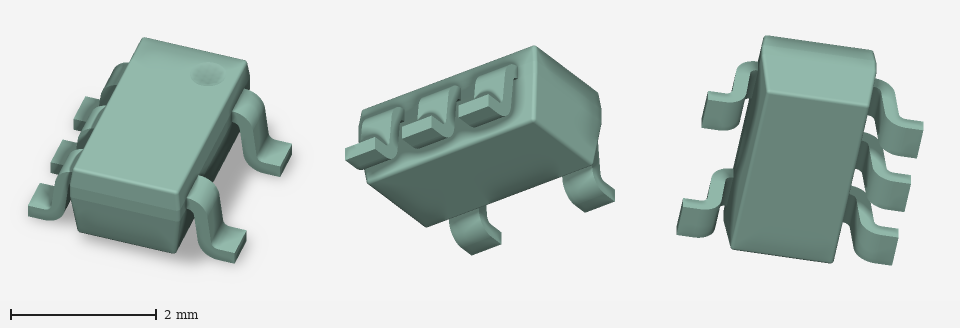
import cadquery as cq
import math

lead_span = 3.0
body_length = 3.0
body_width = 1.602
part_height = 1.3

stand_off = 0.1
lead_thickness = 0.195
upper_height = 0.3
band_top = part_height - upper_height
band_bottom = band_top - lead_thickness
draft_angle = 7.0
edge_radius = 0.05

lead_width = 0.5
lead_pitch = 0.95
shoulder_length = 0.01
foot_length = 0.24
inner_bend = 0.102
outer_bend = inner_bend + lead_thickness
lead_embed = 0.15

dimple_x = 0.35
dimple_y = 1.0
dimple_radius = 0.25
dimple_depth = 0.05


def drafted_block(start_z, height):
    """Rectangular block that narrows away from start_z; a negative height grows it downwards."""
    return (
        cq.Workplane("XY", origin=(0, 0, start_z))
        .rect(body_width, body_length)
        .extrude(height, taper=draft_angle)
    )


def make_body():
    upper = drafted_block(band_top, upper_height)
    lower = drafted_block(band_bottom, stand_off - band_bottom)
    band = (
        cq.Workplane("XY", origin=(0, 0, band_bottom))
        .rect(body_width, body_length)
        .extrude(lead_thickness)
    )
    body = upper.union(band).union(lower)
    return body.edges("(not #Z) or >Z or <Z").fillet(edge_radius)


def make_lead():
    """Lead on the -X side, centred on Y = 0."""
    shoulder_x = -body_width / 2 - shoulder_length
    shoulder_z = band_top - outer_bend
    foot_x = -lead_span / 2 + foot_length
    foot_z = outer_bend

    run = shoulder_x - foot_x
    rise = shoulder_z - foot_z
    centre_distance = math.hypot(run, rise)
    lean = math.atan2(run, rise) - math.asin((outer_bend + inner_bend) / centre_distance)

    def shoulder_point(radius, angle):
        return (shoulder_x - radius * math.cos(angle), shoulder_z + radius * math.sin(angle))

    def foot_point(radius, angle):
        return (foot_x + radius * math.cos(angle), foot_z - radius * math.sin(angle))

    mid_bend = (lean + math.pi / 2) / 2
    body_end_x = -body_width / 2 + lead_embed
    return (
        cq.Workplane("XZ")
        .moveTo(-lead_span / 2, 0)
        .lineTo(foot_x, 0)
        .threePointArc(foot_point(outer_bend, mid_bend), foot_point(outer_bend, lean))
        .lineTo(*shoulder_point(inner_bend, lean))
        .threePointArc(shoulder_point(inner_bend, mid_bend), (shoulder_x, band_bottom))
        .lineTo(body_end_x, band_bottom)
        .lineTo(body_end_x, band_top)
        .lineTo(shoulder_x, band_top)
        .threePointArc(shoulder_point(outer_bend, mid_bend), shoulder_point(outer_bend, lean))
        .lineTo(*foot_point(inner_bend, lean))
        .threePointArc(foot_point(inner_bend, mid_bend), (foot_x, lead_thickness))
        .lineTo(-lead_span / 2, lead_thickness)
        .close()
        .extrude(lead_width / 2, both=True)
    )


def make_dimple():
    sphere_radius = (dimple_radius**2 + dimple_depth**2) / (2 * dimple_depth)
    centre_z = part_height - dimple_depth + sphere_radius
    sphere = cq.Workplane("XY").sphere(sphere_radius).rotate((0, 0, 0), (0, 1, 0), -90)
    return sphere.translate((dimple_x, dimple_y, centre_z))


result = make_body()

left_lead = make_lead()
right_lead = left_lead.mirror("YZ")
for row in (-1, 0, 1):
    result = result.union(left_lead.translate((0, row * lead_pitch, 0)))
for row in (-1, 1):
    result = result.union(right_lead.translate((0, row * lead_pitch, 0)))
result = result.cut(make_dimple())